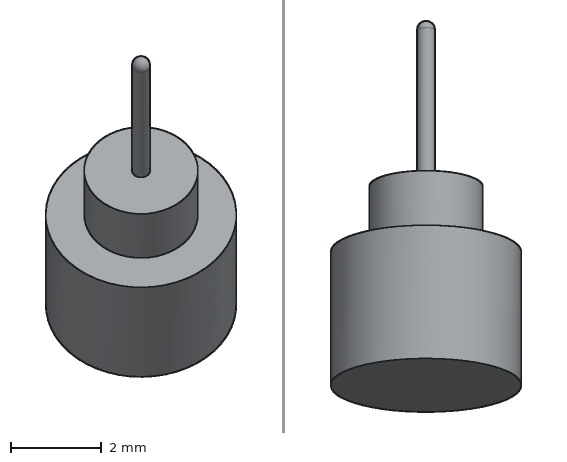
import cadquery as cq

total_height = 8.35
base_diameter = 4.2
base_height = 3.06
collar_diameter = 2.505
collar_height = 1.5
pin_diameter = 0.4

pin_radius = pin_diameter / 2
collar_top = base_height + collar_height
dome_start = total_height - pin_radius


def make_pin():
    """Slender pin rising from the collar, closed by a hemispherical tip."""
    shank = (
        cq.Workplane("XY")
        .workplane(offset=collar_top)
        .circle(pin_radius)
        .extrude(dome_start - collar_top)
    )
    tip = cq.Workplane("XY").sphere(pin_radius).translate((0, 0, dome_start))
    return shank.union(tip)


base = cq.Workplane("XY").circle(base_diameter / 2).extrude(base_height)
body = base.faces(">Z").workplane().circle(collar_diameter / 2).extrude(collar_height)

result = body.union(make_pin())